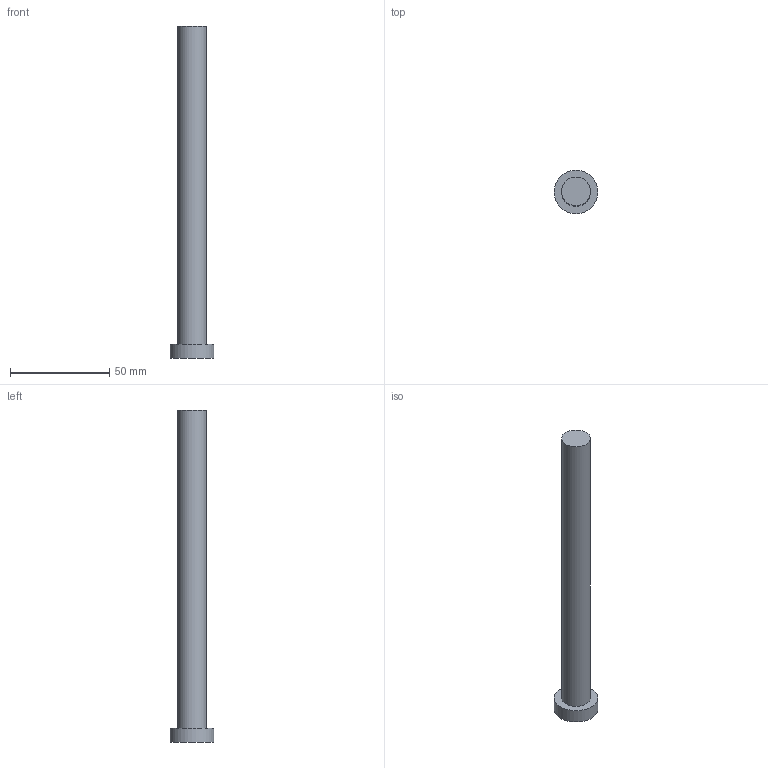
import cadquery as cq

overall_length = 167.0
head_diameter = 22.0
head_height = 7.0
shank_diameter = 14.5

shank_length = overall_length - head_height


def make_head():
    """Round head resting on the XY plane."""
    return cq.Workplane("XY").circle(head_diameter / 2).extrude(head_height)


def add_shank(head):
    """Add the shank, centred on the top face of the head."""
    return head.faces(">Z").workplane().circle(shank_diameter / 2).extrude(shank_length)


result = add_shank(make_head())